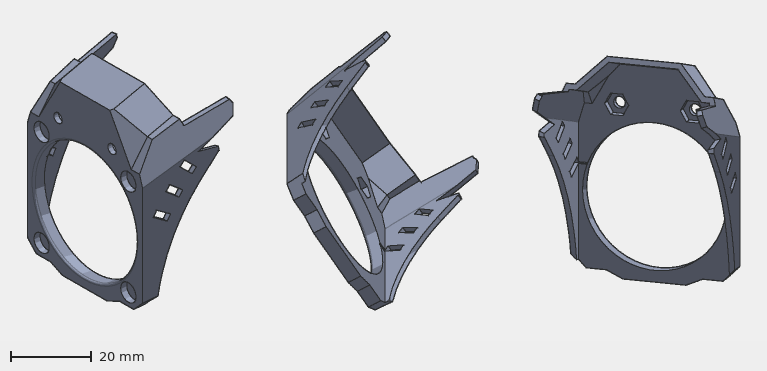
import cadquery as cq
import math

FAR = 118.4
WALL = 1.5
PLATE_DEPTH = 3.6

BORE_DIAMETER = 38.0
BORE_ROUNDING = 0.6
MAGNET_DIAMETER = 5.6
MAGNET_DEPTH = 2.0
MAGNET_OFFSET = 16.05
SCREW_DIAMETER = 3.0
NUT_FLATS = 5.5
NUT_SEAT_Y = 1.6
SCREW_X = 10.0
SCREW_Z = 22.8

BOTTOM_Z = -22.0
LOWER_EDGE_Z = -20.1
LUG_HALF_WIDTH = 8.35
LUG_ROOT_HALF_WIDTH = 12.75
CORNER_HALF_WIDTH = 18.05

SIDE_X = 21.3
SIDE_FLARE = 0.077
LEAN_START_Z = 16.45
LEAN_RISE = 0.31
LEAN_FLARE = 0.172

ROOF_SLOPE = 0.322
ROOF_Z = 33.65
ROOF_HALF_WIDTH = 9.7
SHOULDER_Z = 25.6
SHOULDER_X = 17.1
BEVEL_START_Z = 20.0
SHOULDER_CORNER_Y = 5.45
BEVEL_TOP_X = 9.2
SHOULDER_CORNER_Z = SHOULDER_Z + ROOF_SLOPE * SHOULDER_CORNER_Y

HOOD_BACK_TOP = (11.15, 37.2)
ARM_TOP_ROOT = (14.85, 28.1)
ARM_TIP_TOP = (28.65, 30.9)
ARM_TIP_BACK = (29.4, 29.85)
ARM_TIP_LOW = (28.65, 26.7)
NOTCH_ROOT = (17.45, 20.8)
WING_TOP = (23.5, 20.25)
WING_BACK = (23.8, 18.55)
CLEAR_Y = 35.5

WING_ARC_CENTRE = (62.3, -25.65)
WING_ARC_RADIUS = 58.15
WING_ARC_TOP_Z = 12.25

SLOT_CENTRE = (73.7, -35.2)
SLOT_RADIUS = 79.35
SLOT_LENGTH = 5.05
SLOT_WIDTH = 2.0
SLOT_ANGLES = (31.5, 36.5, 41.5)


def half_space(point, outward, inset):
    """Material behind the plane through point, moved inwards by inset."""
    normal = cq.Vector(*outward).normalized()
    origin = cq.Vector(*point) - normal * inset
    plane = cq.Plane(origin=origin, normal=normal)
    return cq.Workplane(plane).rect(2 * FAR, 2 * FAR).extrude(-FAR)


def mirrored_pair(point, outward, inset):
    """Material between a plane on the left and its mirror on the right."""
    left = half_space(point, outward, inset)
    return left.intersect(left.mirror("YZ"))


def envelope(inset, front_y):
    """Outer form of plate, walls and hood, shrunk by inset behind front_y."""
    sides = mirrored_pair((-SIDE_X, 0, 0), (-1, -SIDE_FLARE, 0), inset)
    leaning = mirrored_pair((-SIDE_X, 0, LEAN_START_Z), (-1, -LEAN_FLARE, LEAN_RISE), inset)
    front = half_space((0, front_y, 0), (0, -1, 0), 0)
    walls = sides.intersect(leaning).intersect(front)

    roof = half_space((0, 0, ROOF_Z), (0, -ROOF_SLOPE, 1), inset)
    along_roof = cq.Vector(0, 1, ROOF_SLOPE)
    down_hood_side = cq.Vector(ROOF_HALF_WIDTH - SHOULDER_X, 0, SHOULDER_Z - ROOF_Z)
    hood_side_normal = along_roof.cross(down_hood_side)
    hood_sides = mirrored_pair((-ROOF_HALF_WIDTH, 0, ROOF_Z), hood_side_normal.toTuple(), inset)

    bevel_rise = cq.Vector(0, SHOULDER_CORNER_Y, SHOULDER_CORNER_Z - BEVEL_START_Z)
    bevel_edge = cq.Vector(SHOULDER_X - BEVEL_TOP_X, 0, ROOF_Z - BEVEL_START_Z)
    bevel_start = (-SHOULDER_X, 0, BEVEL_START_Z)
    hood_bevels = mirrored_pair(bevel_start, bevel_edge.cross(bevel_rise).toTuple(), inset)
    hood = roof.intersect(hood_sides).intersect(hood_bevels)

    shoulder_top = half_space((0, 0, SHOULDER_Z), (0, -ROOF_SLOPE, 1), inset)
    shoulder_bevel = half_space(bevel_start, (0, -bevel_rise.z, bevel_rise.y), inset)
    shoulders = shoulder_top.intersect(shoulder_bevel)

    return walls.intersect(hood.union(shoulders))


def front_outline():
    """Column that gives the lower edge its corners and centre lug."""
    corner_x = CORNER_HALF_WIDTH + FAR
    right_edge = [
        (LUG_HALF_WIDTH, BOTTOM_Z),
        (LUG_ROOT_HALF_WIDTH, LOWER_EDGE_Z),
        (CORNER_HALF_WIDTH, LOWER_EDGE_Z),
        (corner_x, LOWER_EDGE_Z + FAR),
    ]
    left_edge = [(-x, z) for x, z in reversed(right_edge)]
    return cq.Workplane("XZ").polyline(right_edge + left_edge).close().extrude(FAR, both=True)


def wing_arc_point(z):
    """Point of the wing arc at height z, as (Y, Z)."""
    rise = z - WING_ARC_CENTRE[1]
    return (WING_ARC_CENTRE[0] - math.sqrt(WING_ARC_RADIUS**2 - rise**2), z)


def side_profile():
    """Side silhouette, with arm and wing still joined behind the notch."""
    arc_top = wing_arc_point(WING_ARC_TOP_Z)
    arc_middle = wing_arc_point((WING_ARC_TOP_Z + LOWER_EDGE_Z) / 2)
    arc_end = wing_arc_point(LOWER_EDGE_Z)
    return (
        cq.Workplane("YZ")
        .moveTo(0, BOTTOM_Z)
        .lineTo(0, ROOF_Z)
        .lineTo(*HOOD_BACK_TOP)
        .lineTo(*ARM_TOP_ROOT)
        .lineTo(*ARM_TIP_TOP)
        .lineTo(CLEAR_Y, ARM_TIP_TOP[1])
        .lineTo(CLEAR_Y, WING_BACK[1])
        .lineTo(*WING_BACK)
        .lineTo(*arc_top)
        .threePointArc(arc_middle, arc_end)
        .lineTo(arc_end[0], BOTTOM_Z)
        .close()
        .extrude(FAR, both=True)
    )


def notch():
    """Cutter that shapes arm tip and wing, square to the leaning wall."""
    outline = [
        ARM_TIP_TOP,
        ARM_TIP_BACK,
        ARM_TIP_LOW,
        NOTCH_ROOT,
        WING_TOP,
        WING_BACK,
        (CLEAR_Y, WING_ARC_TOP_Z),
        (CLEAR_Y, ROOF_Z),
        (ARM_TIP_TOP[0], ROOF_Z),
    ]
    inward = cq.Vector(1, LEAN_FLARE, -LEAN_RISE).normalized()
    reach = 4 * WALL
    corners = []
    for y, z in outline:
        wall_x = -SIDE_X + LEAN_RISE * (z - LEAN_START_Z) - LEAN_FLARE * y
        corners.append(cq.Vector(wall_x, y, z) - inward * reach)
    face = cq.Face.makeFromWires(cq.Wire.makePolygon(corners, close=True))
    left = cq.Workplane(cq.Solid.extrudeLinear(face, inward * (2 * reach)))
    return left.union(left.mirror("YZ"))


def slots():
    """Three slots through both side walls, pointing at the slot centre."""
    cutters = cq.Workplane()
    for angle in SLOT_ANGLES:
        slot = (
            cq.Workplane("YZ")
            .center(*SLOT_CENTRE)
            .transformed(rotate=(0, 0, -angle))
            .center(-SLOT_RADIUS, 0)
            .rect(SLOT_LENGTH, SLOT_WIDTH)
            .extrude(FAR, both=True)
        )
        cutters = cutters.add(slot)
    return cutters.combine()


def plate_holes():
    """Ring bore, magnet pockets and screw holes with nut pockets."""
    front = cq.Workplane("XZ")
    bore = front.circle(BORE_DIAMETER / 2).extrude(-FAR)
    magnets = (
        front.rect(2 * MAGNET_OFFSET, 2 * MAGNET_OFFSET, forConstruction=True)
        .vertices()
        .circle(MAGNET_DIAMETER / 2)
        .extrude(-MAGNET_DEPTH)
    )
    screw_centres = [(-SCREW_X, SCREW_Z), (SCREW_X, SCREW_Z)]
    screws = front.pushPoints(screw_centres).circle(SCREW_DIAMETER / 2).extrude(-PLATE_DEPTH)
    nut_corners = NUT_FLATS / math.cos(math.radians(30))
    nut_pockets = (
        front.workplane(offset=-NUT_SEAT_Y)
        .pushPoints(screw_centres)
        .polygon(6, nut_corners)
        .extrude(NUT_SEAT_Y - PLATE_DEPTH)
    )
    return bore.union(magnets).union(screws).union(nut_pockets)


shell = envelope(0, 0).cut(envelope(WALL, PLATE_DEPTH))
body = shell.intersect(side_profile()).intersect(front_outline())
body = body.cut(notch()).cut(slots()).cut(plate_holes())

bore_rim = body.faces("<Y").edges(cq.selectors.RadiusNthSelector(-1))
result = bore_rim.fillet(BORE_ROUNDING)